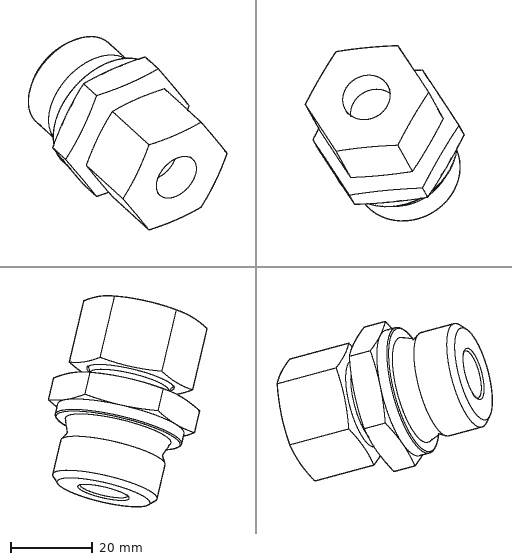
import cadquery as cq
import math


total_length = 46.5

bore_radius = 6.0
bore_chamfer = 0.5

port_radius = 13.2
port_chamfer = 1.5
groove_floor_x = 12.5
groove_floor_radius = 12.1
groove_arc_radius = 1.05
groove_port_angle = math.radians(30)
groove_collar_angle = math.radians(21)

collar_x = 16.0
collar_edge_chamfer = 0.33
hex_x = 19.0
hex_end_x = 26.0
hex_across_flats = 32.0
collar_radius = hex_across_flats / 2

neck_radius = 9.9
neck_fillet = 0.98
neck_end_x = 28.65
neck_cone_angle = math.radians(30)
thread_radius = 11.0

nut_x = 29.55
nut_across_flats = 27.0
nut_length = total_length - nut_x
stud_end_x = nut_x + nut_length / 2

corner_chamfer_angle = math.radians(15)


def along_x(start_x, end_x, radius):
    """Plain cylinder on the X axis."""
    return cq.Workplane("YZ", origin=(start_x, 0, 0)).circle(radius).extrude(end_x - start_x)


def chamfered_hexagon(start_x, end_x, across_flats):
    """Hexagonal prism with corners on +Y and -Y, both ends turned down to the flats by a shallow cone."""
    flat_radius = across_flats / 2
    corner_radius = across_flats / math.sqrt(3)
    cone_length = (corner_radius - flat_radius) * math.tan(corner_chamfer_angle)
    prism = (
        cq.Workplane("YZ", origin=(start_x, 0, 0))
        .polygon(6, 2 * corner_radius)
        .extrude(end_x - start_x)
    )
    turned_envelope = (
        cq.Workplane("XY")
        .moveTo(start_x, 0)
        .lineTo(start_x, flat_radius)
        .lineTo(start_x + cone_length, corner_radius)
        .lineTo(end_x - cone_length, corner_radius)
        .lineTo(end_x, flat_radius)
        .lineTo(end_x, 0)
        .close()
        .revolve(360, (0, 0, 0), (1, 0, 0))
    )
    return prism.intersect(turned_envelope)


def groove_point(angle):
    """Point of the groove's round floor where the surface is tilted by the angle (negative: port side)."""
    x = groove_floor_x + groove_arc_radius * math.sin(angle)
    radius = groove_floor_radius + groove_arc_radius * (1 - math.cos(angle))
    return x, radius


def turned_port_end():
    """Port cylinder, relief groove and collar, as one solid of revolution."""
    port_side = groove_point(-groove_port_angle)
    collar_side = groove_point(groove_collar_angle)
    port_end_x = port_side[0] - (port_radius - port_side[1]) / math.tan(groove_port_angle)
    cone_end_radius = collar_side[1] + (collar_x - collar_side[0]) * math.tan(groove_collar_angle)
    return (
        cq.Workplane("XY")
        .moveTo(0, 0)
        .lineTo(0, port_radius - port_chamfer)
        .lineTo(port_chamfer, port_radius)
        .lineTo(port_end_x, port_radius)
        .lineTo(*port_side)
        .threePointArc(groove_point(0), collar_side)
        .lineTo(collar_x, cone_end_radius)
        .lineTo(collar_x, collar_radius - collar_edge_chamfer)
        .lineTo(collar_x + collar_edge_chamfer, collar_radius)
        .lineTo(hex_x, collar_radius)
        .lineTo(hex_x, 0)
        .close()
        .revolve(360, (0, 0, 0), (1, 0, 0))
    )


def turned_nut_end():
    """Filleted neck and the cylinder that goes into the nut, as one solid of revolution."""
    fillet_rise = neck_fillet * (1 - math.sqrt(0.5))
    cone_length = (thread_radius - neck_radius) / math.tan(neck_cone_angle)
    return (
        cq.Workplane("XY")
        .moveTo(hex_end_x, 0)
        .lineTo(hex_end_x, neck_radius + neck_fillet)
        .threePointArc(
            (hex_end_x + fillet_rise, neck_radius + fillet_rise),
            (hex_end_x + neck_fillet, neck_radius),
        )
        .lineTo(neck_end_x, neck_radius)
        .lineTo(neck_end_x + cone_length, thread_radius)
        .lineTo(stud_end_x, thread_radius)
        .lineTo(stud_end_x, 0)
        .close()
        .revolve(360, (0, 0, 0), (1, 0, 0))
    )


def make_stud():
    """Port end, hexagon and nut end in one piece, bored through."""
    stud = (
        turned_port_end()
        .union(chamfered_hexagon(hex_x, hex_end_x, hex_across_flats))
        .union(turned_nut_end())
        .cut(along_x(0, stud_end_x, bore_radius))
    )
    bore_mouth = stud.faces("<X").edges(cq.selectors.RadiusNthSelector(0))
    return bore_mouth.chamfer(bore_chamfer)


def make_nut():
    """Hexagon nut with a recess that fits the stud's end and the bore continued behind it."""
    return (
        chamfered_hexagon(nut_x, total_length, nut_across_flats)
        .cut(along_x(nut_x, stud_end_x, thread_radius))
        .cut(along_x(stud_end_x, total_length, bore_radius))
    )


stud = make_stud()
nut = make_nut()

result = cq.Compound.makeCompound([stud.solids().val(), nut.solids().val()])